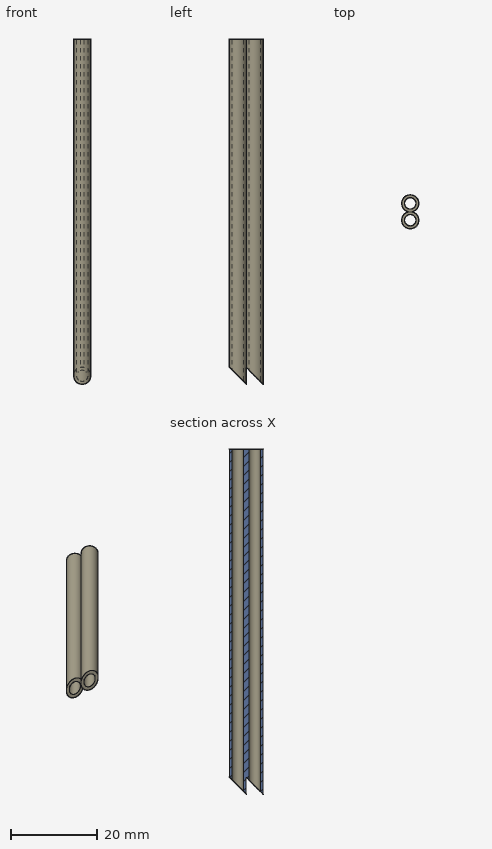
import cadquery as cq

tube_diameter = 4.0
bore_diameter = 2.6
tube_length = 80.0
total_width = 7.9

tube_radius = tube_diameter / 2
tube_pitch = total_width - tube_diameter
bevel_height = tube_diameter


def bevelled_rod(diameter, y_center):
    """Upright rod whose lower end is cut at 45 degrees, lowest on the -Y side of the tube."""
    rod = cq.Workplane("XY").center(0, y_center).circle(diameter / 2).extrude(tube_length)
    tip_y = y_center - tube_radius
    heel_y = y_center + tube_radius
    bevel_waste = (
        cq.Workplane("YZ")
        .polyline([(tip_y, 0), (heel_y, 0), (heel_y, bevel_height)])
        .close()
        .extrude(tube_radius, both=True)
    )
    return rod.cut(bevel_waste)


def bore(y_center):
    """Round passage through the whole tube length."""
    return cq.Workplane("XY").center(0, y_center).circle(bore_diameter / 2).extrude(tube_length)


tube_centers = [-tube_pitch / 2, tube_pitch / 2]

result = bevelled_rod(tube_diameter, tube_centers[0]).union(bevelled_rod(tube_diameter, tube_centers[1]))
for center in tube_centers:
    result = result.cut(bore(center))